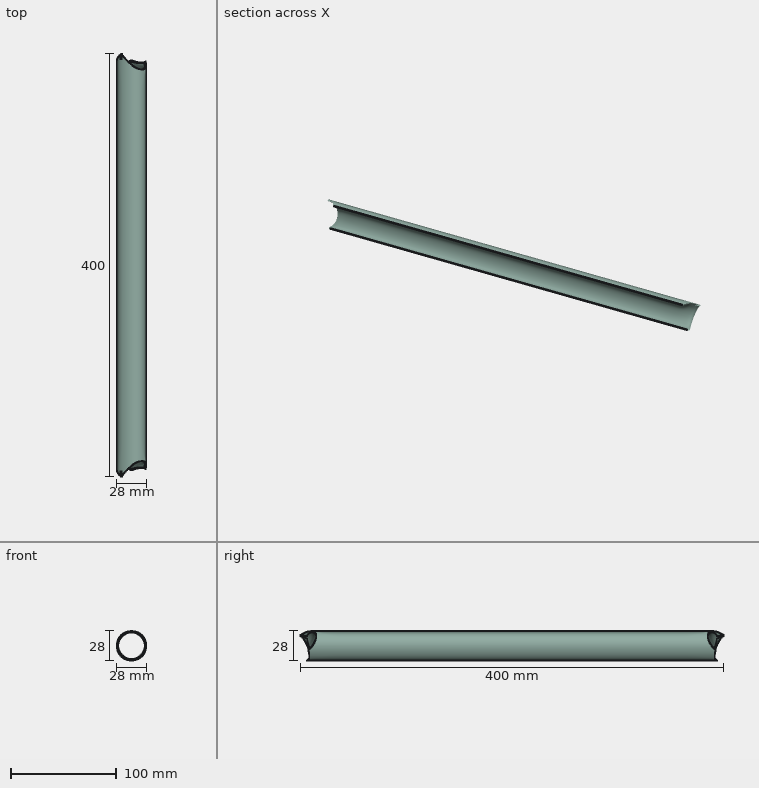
import cadquery as cq

outer_radius = 14.0
wall = 1.5
inner_radius = outer_radius - wall
length = 400.0
half_length = length / 2

member_directions = (
    (43.0, -4.0),
    (223.5, 25.5),
    (313.0, 28.5),
)
member_length = 50.0


def plain_tube():
    """Uncut tube reaching from node to node."""
    return (
        cq.Workplane("XZ")
        .circle(outer_radius)
        .circle(inner_radius)
        .extrude(half_length, both=True)
    )


def member(direction, lean):
    """Solid round member running outwards from the node at the +Y end."""
    along_x = cq.Workplane("YZ").circle(outer_radius).extrude(member_length)
    leaned = along_x.rotate((0, 0, 0), (0, 0, 1), lean)
    turned = leaned.rotate((0, 0, 0), (0, 1, 0), -direction)
    return turned.translate((0, half_length, 0))


def cope_ends(tube):
    """Cut every member out of both ends; the two ends mirror each other."""
    for direction, lean in member_directions:
        cutter = member(direction, lean)
        tube = tube.cut(cutter).cut(cutter.mirror("XZ"))
    return tube


result = cope_ends(plain_tube())